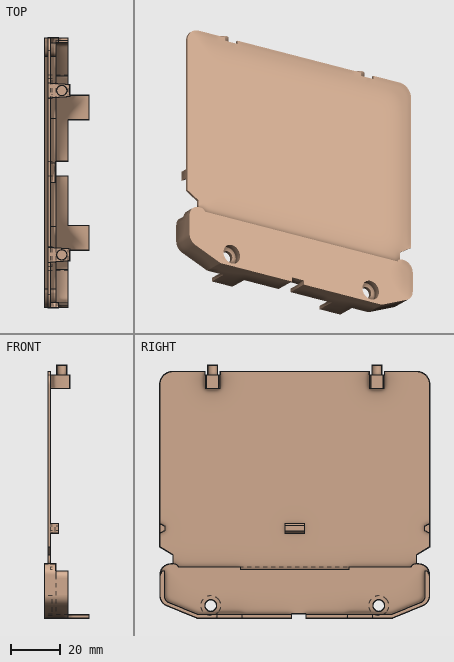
import cadquery as cq
import math

TOTAL_DEPTH = 18.0
TOTAL_HEIGHT = 101.7

PLATE_HALF_WIDTH = 54.3
PLATE_FRONT = 1.4
PLATE_THICKNESS = 1.1
PLATE_BACK = PLATE_FRONT + PLATE_THICKNESS
PLATE_TOP = 99.2
PLATE_CORNER_RADIUS = 5.4
PLATE_SIDE_BOTTOM = 28.7
NECK_HALF_WIDTH = 49.0
NECK_TOP = 25.5
NECK_BOTTOM = 17.0

PIN_SPACING = 66.0
PIN_DIAMETER = 4.1
PIN_X = 7.0
BLOCK_BACK = 10.3
BLOCK_TOP = 97.8
BLOCK_HEIGHT = 5.5
BLOCK_ROOT_WIDTH = 6.0
BLOCK_TIP_WIDTH = 4.8

SIDE_WEDGE_DEPTH = 3.2
SIDE_WEDGE_WIDTH = 2.1
WEDGE_HEIGHT = 4.0
WEDGE_BOTTOM = 34.1
WEDGE_ANGLE = 28.0
CENTER_WEDGE_WIDTH = 7.8
CENTER_WEDGE_DEPTH = 1.7

BASE_HALF_WIDTH = 54.2
WALL_DEPTH = 4.6
BASE_DEPTH = 9.6
CORNER_RADIUS = 4.5
BOTTOM_HALF_WIDTH = 39.2
SLOPE_ANGLE = 22.3
EAR_TOP = 21.9
WALL_TOP = 20.6
EAR_FLAT_INNER = 48.7
EAR_INNER = 46.7
EAR_INNER_RADIUS = 2.2
FLOOR_THICKNESS = 1.5
SIDE_THICKNESS = 1.8
RIM_TOP = 19.0
RIM_ARC_START = 16.1
RECESS_HALF_WIDTH = 21.7
RECESS_DROP = 1.0

SCREW_SPACING = 67.5
SCREW_Z = 5.1
SCREW_DIAMETER = 4.6
SCREW_HEAD_DIAMETER = 8.0
SCREW_HEAD_DEPTH = 3.0
NOTCH_CENTER_Y = 1.6
NOTCH_WIDTH = 5.8
NOTCH_HEIGHT = 1.8
FOOT_CENTER_Y = 26.2
FOOT_WIDTH = 10.0

SIDES = (-1, 1)


def box(x_range, y_range, z_range):
    """Box spanning the given (low, high) ranges."""
    size = [high - low for low, high in (x_range, y_range, z_range)]
    corner = (x_range[0], y_range[0], z_range[0])
    return cq.Workplane("XY").box(*size, centered=False).translate(corner)


def plane_at(x):
    """Sketch plane facing +X, with local coordinates (Y, Z)."""
    return cq.Workplane("YZ", origin=(x, 0, 0))


def both_sides(half):
    """A half on the +Y side joined with its mirror image."""
    return half.union(half.mirror("XZ"))


def plate():
    half = (
        plane_at(PLATE_FRONT)
        .moveTo(0, NECK_BOTTOM)
        .lineTo(NECK_HALF_WIDTH, NECK_BOTTOM)
        .lineTo(NECK_HALF_WIDTH, NECK_TOP)
        .lineTo(PLATE_HALF_WIDTH, PLATE_SIDE_BOTTOM)
        .lineTo(PLATE_HALF_WIDTH, PLATE_TOP - PLATE_CORNER_RADIUS)
        .radiusArc((PLATE_HALF_WIDTH - PLATE_CORNER_RADIUS, PLATE_TOP), -PLATE_CORNER_RADIUS)
        .lineTo(0, PLATE_TOP)
        .close()
        .extrude(PLATE_THICKNESS)
    )
    return both_sides(half)


def block_notch(y):
    """Opening in the top edge of the plate above a hinge block."""
    half_width = BLOCK_ROOT_WIDTH / 2
    return box((PLATE_FRONT, PLATE_BACK), (y - half_width, y + half_width), (BLOCK_TOP, PLATE_TOP))


def hinge_block(y):
    """Tapered block behind the plate with an upright pin."""
    root = BLOCK_ROOT_WIDTH / 2
    tip = BLOCK_TIP_WIDTH / 2
    block = (
        cq.Workplane("XY", origin=(0, y, BLOCK_TOP - BLOCK_HEIGHT))
        .polyline([(PLATE_FRONT, -root), (BLOCK_BACK, -tip), (BLOCK_BACK, tip), (PLATE_FRONT, root)])
        .close()
        .extrude(BLOCK_HEIGHT)
    )
    pin = (
        cq.Workplane("XY", origin=(PIN_X, y, BLOCK_TOP))
        .circle(PIN_DIAMETER / 2)
        .extrude(TOTAL_HEIGHT - BLOCK_TOP)
    )
    return block.union(pin)


def wedge_profile(sketch, root, tip):
    """Draw a trapezoid of full height at root that narrows toward tip along the first sketch axis."""
    drop = abs(tip - root) * math.tan(math.radians(WEDGE_ANGLE))
    wedge_top = WEDGE_BOTTOM + WEDGE_HEIGHT
    corners = [(root, WEDGE_BOTTOM), (tip, WEDGE_BOTTOM + drop), (tip, wedge_top - drop), (root, wedge_top)]
    return sketch.polyline(corners).close()


def side_wedge():
    """Wedge at the plate edge that narrows toward the middle."""
    inner_end = PLATE_HALF_WIDTH - SIDE_WEDGE_WIDTH
    return wedge_profile(plane_at(PLATE_BACK), PLATE_HALF_WIDTH, inner_end).extrude(SIDE_WEDGE_DEPTH)


def center_wedge():
    """Wedge in the middle of the plate that narrows toward the back."""
    sketch = cq.Workplane("XZ", origin=(0, CENTER_WEDGE_WIDTH / 2, 0))
    return wedge_profile(sketch, PLATE_BACK, PLATE_BACK + CENTER_WEDGE_DEPTH).extrude(CENTER_WEDGE_WIDTH)


def lower_outline(sketch, floor_inset=0, side_inset=0):
    """Draw the bottom edge, sloped corner and lower round, moved inward by the given insets."""
    slope = math.radians(SLOPE_ANGLE)
    side = BASE_HALF_WIDTH - side_inset
    radius = CORNER_RADIUS - floor_inset
    bottom_end = BOTTOM_HALF_WIDTH - floor_inset * math.tan(slope / 2)
    corner_z = floor_inset + (side - bottom_end) * math.tan(slope)
    tangent = radius * math.tan((math.pi / 2 - slope) / 2)
    round_start = (side - tangent * math.cos(slope), corner_z - tangent * math.sin(slope))
    return (
        sketch.moveTo(0, floor_inset)
        .lineTo(bottom_end, floor_inset)
        .lineTo(*round_start)
        .radiusArc((side, corner_z + tangent), -radius)
    )


def base_wall():
    """Solid front wall with a raised ear at each end."""
    half = (
        lower_outline(plane_at(0))
        .lineTo(BASE_HALF_WIDTH, EAR_TOP - CORNER_RADIUS)
        .radiusArc((BASE_HALF_WIDTH - CORNER_RADIUS, EAR_TOP), -CORNER_RADIUS)
        .lineTo(EAR_FLAT_INNER, EAR_TOP)
        .radiusArc((EAR_INNER, WALL_TOP), -EAR_INNER_RADIUS)
        .lineTo(0, WALL_TOP)
        .close()
        .extrude(WALL_DEPTH)
    )
    recess = box(
        (PLATE_BACK, WALL_DEPTH),
        (-RECESS_HALF_WIDTH, RECESS_HALF_WIDTH),
        (WALL_TOP - RECESS_DROP, WALL_TOP),
    )
    return both_sides(half).cut(recess)


def base_rim():
    """Thin floor and sides that run back from the wall."""
    depth = BASE_DEPTH - WALL_DEPTH
    arc_rise = RIM_TOP - RIM_ARC_START
    rim_top_y = BASE_HALF_WIDTH - CORNER_RADIUS + math.sqrt(CORNER_RADIUS**2 - arc_rise**2)
    outer = (
        lower_outline(plane_at(WALL_DEPTH))
        .lineTo(BASE_HALF_WIDTH, RIM_ARC_START)
        .radiusArc((rim_top_y, RIM_TOP), -CORNER_RADIUS)
        .lineTo(0, RIM_TOP)
        .close()
        .extrude(depth)
    )
    inner = (
        lower_outline(plane_at(WALL_DEPTH), FLOOR_THICKNESS, SIDE_THICKNESS)
        .lineTo(BASE_HALF_WIDTH - SIDE_THICKNESS, RIM_TOP)
        .lineTo(0, RIM_TOP)
        .close()
        .extrude(depth)
    )
    return both_sides(outer.cut(inner))


def foot(y):
    """Flat tongue that runs back from the floor."""
    return box((WALL_DEPTH, TOTAL_DEPTH), (y - FOOT_WIDTH / 2, y + FOOT_WIDTH / 2), (0, FLOOR_THICKNESS))


def screw_hole(y):
    """Counterbored hole through the wall, with the head on the front face."""
    hole = plane_at(0).center(y, SCREW_Z).circle(SCREW_DIAMETER / 2).extrude(WALL_DEPTH)
    head = plane_at(0).center(y, SCREW_Z).circle(SCREW_HEAD_DIAMETER / 2).extrude(SCREW_HEAD_DEPTH)
    return hole.union(head)


def floor_notch():
    """Off-center notch through the bottom edge of the wall and the floor."""
    y_range = (NOTCH_CENTER_Y - NOTCH_WIDTH / 2, NOTCH_CENTER_Y + NOTCH_WIDTH / 2)
    return box((0, BASE_DEPTH), y_range, (0, NOTCH_HEIGHT))


panel = plate()
for side in SIDES:
    pin_y = side * PIN_SPACING / 2
    panel = panel.cut(block_notch(pin_y)).union(hinge_block(pin_y))
panel = panel.union(both_sides(side_wedge())).union(center_wedge())

base = base_wall().union(base_rim())
for side in SIDES:
    base = base.union(foot(side * FOOT_CENTER_Y)).cut(screw_hole(side * SCREW_SPACING / 2))
base = base.cut(floor_notch())

result = panel.union(base)